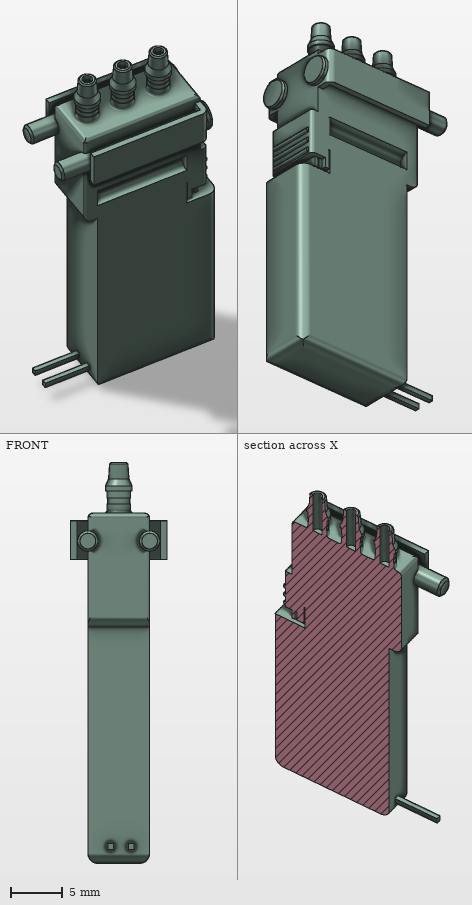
import cadquery as cq


body_width = 6.0
coil_depth = 13.5
coil_round = 1.0
coil_shelf_z = 20.35

head_front = -1.5
head_back = 11.5
head_bottom_z = 23.0
head_top_z = 34.1
head_top_round = 0.5
head_side_round = 0.3
head_bottom_round = 1.0
neck_back = 10.0

connector_back = 12.3
connector_bottom_z = 21.9
connector_top_z = 26.8
connector_round = 0.4
connector_gap = 0.08
lip_bottom_z = 20.83
lip_front = neck_back + connector_gap
lip_thickness = 0.5
contact_size = 0.4
contact_gap = 0.15
contact_inset = 0.45
contact_rows = 2

ridge_length = 5.0
ridge_diameter = 0.5
ridge_pitch = 1.15
ridge_count = 3
ridge_first_z = 22.4

groove_diameter = 2.0
groove_z = 25.75

clip_width = 9.4
clip_front = -1.4
clip_thickness = 0.62
clip_bottom_z = 29.55
clip_height = 3.8
clip_round = 0.75

screw_diameter = 2.0
screw_tip_y = -4.5
screw_tip_chamfer = 0.25
screw_x = body_width / 2
screw_z = 31.35
screw_head_diameter = 3.0
screw_head_height = 0.6
screw_rim_height = 0.35
screw_head_taper = 0.1

total_height = 39.0
barb_pitch = 3.98
barb_middle_y = 4.52
barb_bore = 1.0
barb_tip_diameter = 1.8
barb_tip_chamfer = 0.15
barb_nose_diameter = 2.0
barb_nose_z = 37.4
barb_collar_diameter = 2.6
barb_collar_top_z = 36.7
barb_collar_bottom_z = 36.25
barb_stem_diameter = 2.3
barb_groove_diameter = 2.2
barb_groove_top_z = 35.53
barb_groove_bottom_z = 34.95
barb_foot_round = 0.27

pin_tip_y = -5.0
pin_root_y = 0.4
pin_width = 0.5
pin_height = 0.6
pin_pitch = 2.0
pin_left_x = -0.78
pin_z = 1.65


def box(x_min, x_max, y_min, y_max, z_min, z_max):
    """Block between the given limits."""
    size = (x_max - x_min, y_max - y_min, z_max - z_min)
    return cq.Workplane("XY").box(*size, centered=False).translate((x_min, y_min, z_min))


def centred_box(width, y_min, y_max, z_min, z_max):
    """Block centred on X."""
    return box(-width / 2, width / 2, y_min, y_max, z_min, z_max)


def make_coil_housing():
    """Tall block: mitred rounds under all four sides and rounded rear uprights, plus the neck."""
    block = centred_box(body_width, 0, coil_depth, 0, coil_shelf_z)
    rounded_in_plan = block.edges("|Z and >Y").fillet(coil_round)
    rounded_from_front = block.edges("|Y and <Z").fillet(coil_round)
    rounded_from_side = block.edges("|X and <Z").fillet(coil_round)
    housing = rounded_in_plan.intersect(rounded_from_front).intersect(rounded_from_side)
    neck = centred_box(body_width, 0, neck_back, coil_shelf_z, head_bottom_z)
    return housing.union(neck)


def make_head():
    """Upper block with mitred rounds along its top and front edges."""
    block = centred_box(body_width, head_front, head_back, head_bottom_z, head_top_z)
    rounded_in_plan = block.edges("|Z and <Y").fillet(head_side_round)
    rounded_from_front = block.edges("|Y and >Z").fillet(head_top_round)
    rounded_from_side = block.edges("|X and >Z").fillet(head_top_round)
    rounded_from_side = rounded_from_side.faces("<Z").edges("<Y").fillet(head_bottom_round)
    return rounded_in_plan.intersect(rounded_from_front).intersect(rounded_from_side)


def make_connector():
    """Rear block with ridges on its back, a hanging lip and two rows of contacts below."""
    connector = centred_box(body_width, lip_front, connector_back, connector_bottom_z, connector_top_z)
    connector = connector.edges("|Z and >Y").fillet(connector_round)

    lip_back = lip_front + lip_thickness
    lip = centred_box(body_width, lip_front, lip_back, lip_bottom_z, connector_top_z)
    connector = connector.union(lip)

    contact_width = body_width - 2 * contact_inset
    for row in range(contact_rows):
        contact_front = lip_back + row * (contact_size + contact_gap)
        contact_back = contact_front + contact_size
        contacts = centred_box(contact_width, contact_front, contact_back, lip_bottom_z, connector_top_z)
        connector = connector.union(contacts)

    for row in range(ridge_count):
        ridge_z = ridge_first_z + row * ridge_pitch
        ridge = cq.Workplane("YZ").center(connector_back, ridge_z).circle(ridge_diameter / 2)
        connector = connector.union(ridge.extrude(ridge_length / 2, both=True))
    return connector


def make_grip_grooves():
    """Cutters for the half-round grooves, one on each side."""
    centres = [(-body_width / 2, groove_z), (body_width / 2, groove_z)]
    return cq.Workplane("XZ").pushPoints(centres).circle(groove_diameter / 2).extrude(-neck_back)


def make_clip():
    """U-shaped sheet clip of even thickness, open towards the front."""
    clip_top_z = clip_bottom_z + clip_height
    clip = centred_box(clip_width, clip_front, head_back, clip_bottom_z, clip_top_z)
    clip = clip.edges("|Z and >Y").fillet(clip_round)
    inner_width = clip_width - 2 * clip_thickness
    inner_back = head_back - clip_thickness
    opening = centred_box(inner_width, clip_front, inner_back, clip_bottom_z, clip_top_z)
    opening = opening.edges("|Z and >Y").fillet(clip_round - clip_thickness)
    return clip.cut(opening)


def make_screw(x):
    """Screw along Y with a chamfered tip and a slightly tapered head behind the clip."""
    shank_radius = screw_diameter / 2
    head_radius = screw_head_diameter / 2
    head_end_y = head_back + screw_head_height
    profile = [
        (0, screw_tip_y),
        (shank_radius - screw_tip_chamfer, screw_tip_y),
        (shank_radius, screw_tip_y + screw_tip_chamfer),
        (shank_radius, head_back),
        (head_radius, head_back),
        (head_radius, head_back + screw_rim_height),
        (head_radius - screw_head_taper, head_end_y),
        (0, head_end_y),
    ]
    screw = cq.Workplane("XY").polyline(profile).close().revolve(360, (0, 0), (0, 1))
    return screw.translate((x, 0, screw_z))


def make_barb(y):
    """Hollow hose barb revolved about a vertical axis, flared where it meets the head."""
    tip_radius = barb_tip_diameter / 2
    nose_radius = barb_nose_diameter / 2
    collar_radius = barb_collar_diameter / 2
    stem_radius = barb_stem_diameter / 2
    groove_radius = barb_groove_diameter / 2
    bore_radius = barb_bore / 2
    foot_top_z = head_top_z + barb_foot_round
    barb = (
        cq.Workplane("XZ")
        .moveTo(bore_radius, head_top_z)
        .lineTo(bore_radius, total_height)
        .lineTo(tip_radius - barb_tip_chamfer, total_height)
        .lineTo(tip_radius, total_height - barb_tip_chamfer)
        .lineTo(nose_radius, barb_nose_z)
        .lineTo(collar_radius, barb_collar_top_z)
        .lineTo(collar_radius, barb_collar_bottom_z)
        .lineTo(stem_radius, barb_collar_bottom_z)
        .lineTo(stem_radius, barb_groove_top_z)
        .lineTo(groove_radius, barb_groove_top_z)
        .lineTo(groove_radius, barb_groove_bottom_z)
        .lineTo(stem_radius, barb_groove_bottom_z)
        .lineTo(stem_radius, foot_top_z)
        .radiusArc((stem_radius + barb_foot_round, head_top_z), -barb_foot_round)
        .close()
        .revolve(360, (0, 0), (0, 1))
    )
    return barb.translate((0, y, 0))


def make_pin(x):
    """Straight rectangular terminal pin rooted in the front face."""
    half_width = pin_width / 2
    half_height = pin_height / 2
    x_min = x - half_width
    x_max = x + half_width
    return box(x_min, x_max, pin_tip_y, pin_root_y, pin_z - half_height, pin_z + half_height)


result = make_coil_housing().union(make_head()).union(make_connector()).cut(make_grip_grooves())
result = result.union(make_clip())

for side in (-1, 1):
    result = result.union(make_screw(side * screw_x))

for step in (-1, 0, 1):
    result = result.union(make_barb(barb_middle_y + step * barb_pitch))

for pin_x in (pin_left_x, pin_left_x + pin_pitch):
    result = result.union(make_pin(pin_x))